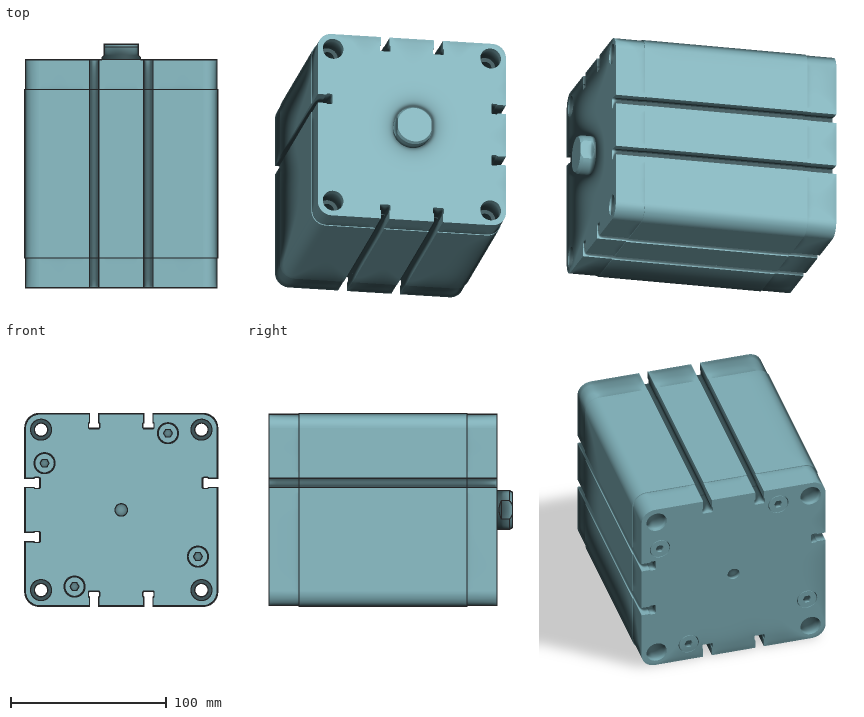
import cadquery as cq
import math

barrel_width = 124.0
cap_step = 0.5
cap_width = barrel_width - 2 * cap_step
cap_length = 19.25
body_length = 146.5
barrel_length = body_length - 2 * cap_length
barrel_corner_radius = 9.5
cap_corner_radius = barrel_corner_radius - cap_step

slot_offset = 17.4
slot_neck_width = 5.8
slot_pocket_width = 7.0
slot_pocket_height = 4.0
slot_depth = 9.55
slot_corner_chamfer = 0.5
slots = [
    (0, -slot_offset),
    (0, slot_offset),
    (90, -slot_offset),
    (180, -slot_offset),
    (180, slot_offset),
    (270, -slot_offset),
    (270, slot_offset),
]

mount_pitch = 103.0
mount_bore = 8.38
mount_counterbore = 13.5
mount_counterbore_depth = cap_length

screw_near = 30.0
screw_far = 49.25
screw_recess = 13.5
screw_recess_depth = 8.0
screw_head = 12.5
hex_across_flats = 5.0
hex_depth = 3.0

centre_hole = 8.0
centre_hole_depth = 3.0

rod_diameter = 25.0
rod_stickout = 10.0
rod_embedment = cap_length / 2
rod_chamfer_length = 2.0
rod_chamfer_angle = 30.0
flat_spacing = 22.0
flat_length = 7.2


def xz_plane(y):
    """Plane at the given y whose local axes are X and Z; extrude(negative) goes towards +Y."""
    return cq.Workplane("XZ", origin=(0, y, 0))


def rounded_block(width, radius, y_start, length):
    return xz_plane(y_start).rect(width, width).extrude(-length).edges("|Y").fillet(radius)


def slot_cutter(width, y_start, length, angle, place):
    """One T-slot, measured inwards from the face of a block of the given width."""
    floor = width / 2 - slot_depth
    neck = xz_plane(y_start).center(place, floor + slot_depth / 2)
    neck = neck.rect(slot_neck_width, slot_depth).extrude(-length)
    pocket = xz_plane(y_start).center(place, floor + slot_pocket_height / 2)
    pocket = pocket.rect(slot_pocket_width, slot_pocket_height).extrude(-length)
    pocket = pocket.edges("|Y").chamfer(slot_corner_chamfer)
    return neck.union(pocket).rotate((0, 0, 0), (0, 1, 0), angle)


def slotted_block(width, radius, y_start, length):
    block = rounded_block(width, radius, y_start, length)
    for angle, place in slots:
        block = block.cut(slot_cutter(width, y_start, length, angle, place))
    return block


def make_body():
    rear_cap = slotted_block(cap_width, cap_corner_radius, 0, cap_length)
    barrel = slotted_block(barrel_width, barrel_corner_radius, cap_length, barrel_length)
    front_cap = slotted_block(cap_width, cap_corner_radius, cap_length + barrel_length, cap_length)
    return rear_cap.union(barrel).union(front_cap)


def mounting_holes():
    bores = xz_plane(0).rect(mount_pitch, mount_pitch, forConstruction=True).vertices()
    cutter = bores.circle(mount_bore / 2).extrude(-body_length)
    for y_start in (0, body_length - mount_counterbore_depth):
        corners = xz_plane(y_start).rect(mount_pitch, mount_pitch, forConstruction=True).vertices()
        cutter = cutter.union(corners.circle(mount_counterbore / 2).extrude(-mount_counterbore_depth))
    return cutter


def screw_gaps():
    """Annular gap around each screw head and the hexagon socket inside it."""
    centres = [
        (screw_near, screw_far),
        (screw_far, -screw_near),
        (-screw_near, -screw_far),
        (-screw_far, screw_near),
    ]
    hex_corner_diameter = hex_across_flats / math.cos(math.pi / 6)
    recess = xz_plane(0).pushPoints(centres).circle(screw_recess / 2).extrude(-screw_recess_depth)
    heads = xz_plane(0).pushPoints(centres).circle(screw_head / 2).extrude(-screw_recess_depth)
    sockets = xz_plane(0).pushPoints(centres).polygon(6, hex_corner_diameter).extrude(-hex_depth)
    return recess.cut(heads).union(sockets)


def centring_hole():
    return xz_plane(0).circle(centre_hole / 2).extrude(-centre_hole_depth)


def make_rod():
    """Rod revolved about Y with its base plane at y = 0, then moved onto the front cap."""
    radius = rod_diameter / 2
    tip = rod_stickout
    tip_radius = radius - rod_chamfer_length * math.tan(math.radians(rod_chamfer_angle))
    profile = [
        (0, -rod_embedment),
        (radius, -rod_embedment),
        (radius, tip - rod_chamfer_length),
        (tip_radius, tip),
        (0, tip),
    ]
    rod = cq.Workplane("XY").polyline(profile).close().revolve(360, (0, 0, 0), (0, 1, 0))
    flat_end = tip - flat_length
    flat_cut_depth = radius - flat_spacing / 2
    flat_profile = [
        (flat_spacing / 2, tip),
        (flat_spacing / 2, flat_end),
        (radius, flat_end - flat_cut_depth),
        (radius, tip),
    ]
    flat = cq.Workplane("XY").polyline(flat_profile).close().extrude(radius, both=True)
    rod = rod.cut(flat).cut(flat.mirror("YZ"))
    return rod.translate((0, body_length, 0))


result = make_body().union(make_rod())
result = result.cut(mounting_holes())
result = result.cut(screw_gaps())
result = result.cut(centring_hole())